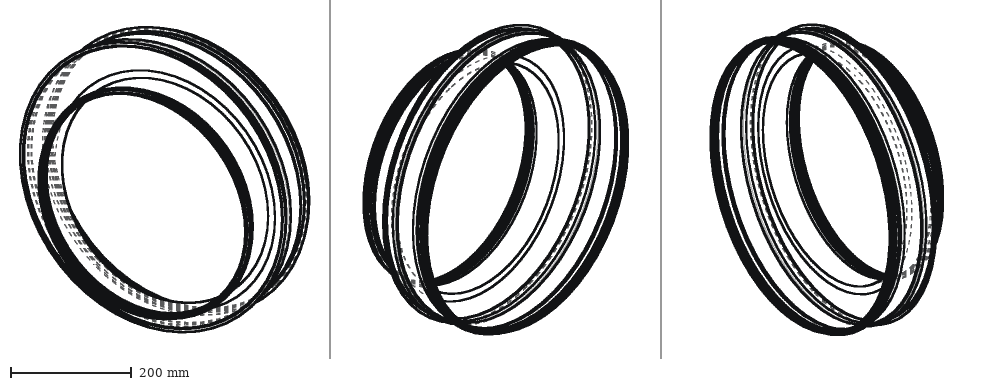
import cadquery as cq

TOTAL_LENGTH = 164.0
BACK_Y = TOTAL_LENGTH / 2
FRONT_Y = -TOTAL_LENGTH / 2
JOINT_Y = -8.0
SMALL_OFFSET_X = 23.5
SHEET = 0.5

LARGE_RADIUS = 499.0 / 2
LARGE_GROOVE_RADIUS = 494.0 / 2
LARGE_STEP_RADIUS = 495.5 / 2
LARGE_CURL_DEPTH = 1.5
LARGE_CURL_LENGTH = 2.0
HEM_RADIUS = 513.0 / 2
HEM_BEND = 1.0
HEM_LIP_RADIUS = 502.0 / 2
HEM_LIP_FOOT_RADIUS = 499.0 / 2
BEAD_RADIUS = 508.5 / 2
BEAD_SHOULDER_RADIUS = 506.0 / 2
BEAD_BEND_RADIUS = 501.0 / 2
BEAD_BACK_FOOT_Y = 18.0
BEAD_BEND_Y = 16.5
BEAD_BACK_SHOULDER_Y = 15.0
BEAD_FRONT_SHOULDER_Y = 10.5
BEAD_FRONT_FOOT_Y = 7.0
BEAD_CROWN_Y = (BEAD_BACK_SHOULDER_Y + BEAD_FRONT_SHOULDER_Y) / 2

LARGE_GROOVE_BACK_Y = 75.5
LARGE_GROOVE_FRONT_Y = 58.0
LARGE_STEP_Y = 56.5
LARGE_CONE_END_Y = 52.0

SMALL_RADIUS = 399.0 / 2
SMALL_GROOVE_RADIUS = 394.0 / 2
SMALL_STEP_RADIUS = 395.0 / 2
SMALL_RIM_RADIUS = 400.0 / 2
SMALL_FLARE_LENGTH = 1.5
SMALL_FLANGE_RADIUS = 425.0 / 2
SMALL_CONE_START_Y = -57.0
SMALL_STEP_Y = -60.5
SMALL_GROOVE_BACK_Y = -62.0
SMALL_GROOVE_FRONT_Y = -76.5

GASKET_BASE_HEIGHT = 0.5
GASKET_LARGE_FIN_RADIUS = 509.0 / 2
GASKET_LARGE_LIP_RADIUS = 504.0 / 2
GASKET_SMALL_FIN_RADIUS = 409.0 / 2
GASKET_SMALL_LIP_RADIUS = 404.5 / 2
LARGE_GASKET_INNER_Y = 66.5
LARGE_FIN_Y = 67.0
SMALL_FIN_Y = -66.5
FIN_THICKNESS = 1.5
LIP_THICKNESS = 1.0
LIP_SLANT = 1.0
LIP_GAP = 4.5
GROOVE_END_SLOPE = 1.5


def revolve_y(profile, centre_x=0.0):
    """Turn a closed (radius, y) profile about an axis parallel to Y."""
    ring = profile.close().revolve(360, (0, 0, 0), (0, 1, 0))
    return ring.translate((centre_x, 0, 0))


def make_large_pipe():
    hem_back_y = JOINT_Y + 3 * SHEET
    plate_back_y = JOINT_Y + 2 * SHEET
    plate_front_y = JOINT_Y + SHEET
    bore = LARGE_RADIUS - SHEET
    bead_shoulder_bore = BEAD_SHOULDER_RADIUS - SHEET
    profile = (
        cq.Workplane("XY")
        .moveTo(LARGE_RADIUS - LARGE_CURL_DEPTH, BACK_Y)
        .lineTo(LARGE_RADIUS, BACK_Y - LARGE_CURL_LENGTH)
        .lineTo(LARGE_RADIUS, LARGE_GROOVE_BACK_Y)
        .lineTo(LARGE_GROOVE_RADIUS, LARGE_GROOVE_BACK_Y - GROOVE_END_SLOPE)
        .lineTo(LARGE_GROOVE_RADIUS, LARGE_GROOVE_FRONT_Y)
        .lineTo(LARGE_STEP_RADIUS, LARGE_STEP_Y)
        .lineTo(LARGE_RADIUS, LARGE_CONE_END_Y)
        .lineTo(LARGE_RADIUS, BEAD_BACK_FOOT_Y)
        .lineTo(BEAD_BEND_RADIUS, BEAD_BEND_Y)
        .lineTo(BEAD_SHOULDER_RADIUS, BEAD_BACK_SHOULDER_Y)
        .threePointArc((BEAD_RADIUS, BEAD_CROWN_Y), (BEAD_SHOULDER_RADIUS, BEAD_FRONT_SHOULDER_Y))
        .lineTo(LARGE_RADIUS, BEAD_FRONT_FOOT_Y)
        .lineTo(LARGE_RADIUS, hem_back_y + HEM_BEND)
        .lineTo(LARGE_RADIUS + HEM_BEND, hem_back_y)
        .lineTo(HEM_RADIUS, hem_back_y)
        .lineTo(HEM_RADIUS, JOINT_Y)
        .lineTo(HEM_LIP_RADIUS, JOINT_Y)
        .lineTo(HEM_LIP_FOOT_RADIUS, plate_front_y)
        .lineTo(HEM_RADIUS - SHEET, plate_front_y)
        .lineTo(HEM_RADIUS - SHEET, plate_back_y)
        .lineTo(bore, plate_back_y)
        .lineTo(bore, BEAD_FRONT_FOOT_Y)
        .lineTo(bead_shoulder_bore, BEAD_FRONT_SHOULDER_Y)
        .threePointArc((BEAD_RADIUS - SHEET, BEAD_CROWN_Y), (bead_shoulder_bore, BEAD_BACK_SHOULDER_Y))
        .lineTo(BEAD_BEND_RADIUS - SHEET, BEAD_BEND_Y)
        .lineTo(bore, BEAD_BACK_FOOT_Y)
        .lineTo(bore, LARGE_CONE_END_Y)
        .lineTo(LARGE_STEP_RADIUS - SHEET, LARGE_STEP_Y)
        .lineTo(LARGE_GROOVE_RADIUS - SHEET, LARGE_GROOVE_FRONT_Y)
        .lineTo(LARGE_GROOVE_RADIUS - SHEET, LARGE_GROOVE_BACK_Y - GROOVE_END_SLOPE)
        .lineTo(bore, LARGE_GROOVE_BACK_Y)
        .lineTo(bore, BACK_Y - LARGE_CURL_LENGTH)
        .lineTo(bore - LARGE_CURL_DEPTH, BACK_Y)
    )
    return revolve_y(profile)


def make_plate():
    """Flat disc held in the hem, with an eccentric hole the size of the small bore."""
    disc = cq.Workplane("XZ", origin=(0, JOINT_Y + 2 * SHEET, 0)).circle(HEM_RADIUS - SHEET).extrude(SHEET)
    hole = (
        cq.Workplane("XZ", origin=(SMALL_OFFSET_X, JOINT_Y + 2 * SHEET, 0))
        .circle(SMALL_RADIUS - SHEET)
        .extrude(SHEET)
    )
    return disc.cut(hole)


def make_small_pipe():
    flange_back_y = JOINT_Y + SHEET
    flare_y = FRONT_Y + SMALL_FLARE_LENGTH
    floor_front_y = SMALL_GROOVE_FRONT_Y + GROOVE_END_SLOPE
    bore = SMALL_RADIUS - SHEET
    profile = (
        cq.Workplane("XY")
        .moveTo(bore, flange_back_y)
        .lineTo(SMALL_FLANGE_RADIUS, flange_back_y)
        .lineTo(SMALL_FLANGE_RADIUS, JOINT_Y)
        .lineTo(SMALL_RADIUS, JOINT_Y)
        .lineTo(SMALL_RADIUS, SMALL_CONE_START_Y)
        .lineTo(SMALL_STEP_RADIUS, SMALL_STEP_Y)
        .lineTo(SMALL_GROOVE_RADIUS, SMALL_GROOVE_BACK_Y)
        .lineTo(SMALL_GROOVE_RADIUS, floor_front_y)
        .lineTo(SMALL_RADIUS, SMALL_GROOVE_FRONT_Y)
        .lineTo(SMALL_RADIUS, flare_y)
        .lineTo(SMALL_RIM_RADIUS, FRONT_Y)
        .lineTo(SMALL_RIM_RADIUS - SHEET, FRONT_Y)
        .lineTo(bore, flare_y)
        .lineTo(bore, SMALL_GROOVE_FRONT_Y)
        .lineTo(SMALL_GROOVE_RADIUS - SHEET, floor_front_y)
        .lineTo(SMALL_GROOVE_RADIUS - SHEET, SMALL_GROOVE_BACK_Y)
        .lineTo(SMALL_STEP_RADIUS - SHEET, SMALL_STEP_Y)
        .lineTo(bore, SMALL_CONE_START_Y)
    )
    return revolve_y(profile, SMALL_OFFSET_X)


def make_gasket(floor_radius, fin_radius, lip_radius, inner_y, outer_y, fin_y, centre_x=0.0):
    """Gasket on a groove floor, from inner_y to outer_y at the pipe's open end.

    fin_y is the face of the tall fin turned away from the open end.
    """
    toward_end = 1 if outer_y > inner_y else -1
    base_radius = floor_radius + GASKET_BASE_HEIGHT
    fin_end_y = fin_y + toward_end * FIN_THICKNESS
    lip_root_y = fin_end_y + toward_end * LIP_GAP
    lip_tip_y = lip_root_y - toward_end * LIP_SLANT
    profile = (
        cq.Workplane("XY")
        .moveTo(floor_radius, inner_y)
        .lineTo(base_radius, inner_y)
        .lineTo(base_radius, fin_y)
        .lineTo(fin_radius, fin_y)
        .lineTo(fin_radius, fin_end_y)
        .lineTo(base_radius, fin_end_y)
        .lineTo(base_radius, lip_root_y - toward_end * LIP_THICKNESS)
        .lineTo(lip_radius, lip_tip_y - toward_end * LIP_THICKNESS)
        .lineTo(lip_radius, lip_tip_y)
        .lineTo(base_radius, lip_root_y)
        .lineTo(floor_radius, outer_y)
    )
    return revolve_y(profile, centre_x)


large_pipe = make_large_pipe()
plate = make_plate()
small_pipe = make_small_pipe()
large_gasket = make_gasket(
    LARGE_GROOVE_RADIUS,
    GASKET_LARGE_FIN_RADIUS,
    GASKET_LARGE_LIP_RADIUS,
    inner_y=LARGE_GASKET_INNER_Y,
    outer_y=LARGE_GROOVE_BACK_Y - GROOVE_END_SLOPE,
    fin_y=LARGE_FIN_Y,
)
small_gasket = make_gasket(
    SMALL_GROOVE_RADIUS,
    GASKET_SMALL_FIN_RADIUS,
    GASKET_SMALL_LIP_RADIUS,
    inner_y=SMALL_GROOVE_BACK_Y,
    outer_y=SMALL_GROOVE_FRONT_Y + GROOVE_END_SLOPE,
    fin_y=SMALL_FIN_Y,
    centre_x=SMALL_OFFSET_X,
)

result = cq.Compound.makeCompound(
    [large_pipe.val(), plate.val(), small_pipe.val(), large_gasket.val(), small_gasket.val()]
)